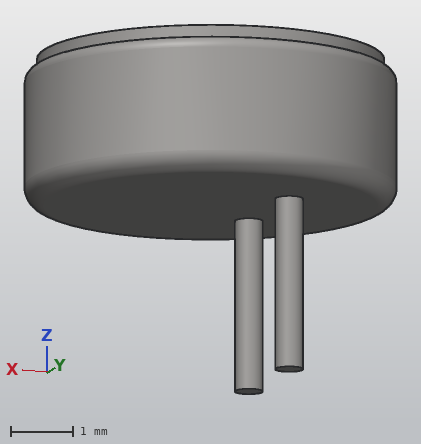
import cadquery as cq

can_diameter = 6.0
overall_height = 5.2
pin_length = 2.8
bottom_round = 0.3

disc_height = 0.2
top_round = 0.2
disc_diameter = can_diameter - 2 * top_round

pin_diameter = 0.45
pin_offset_x = -1.0
pin_spacing = 1.9

can_height = overall_height - pin_length - disc_height


def make_can():
    """Can standing on Z = 0, with rounded bottom and top edges."""
    can = cq.Workplane("XY").circle(can_diameter / 2).extrude(can_height)
    can = can.faces("<Z").edges().fillet(bottom_round)
    return can.faces(">Z").edges().fillet(top_round)


def make_disc():
    """Thin disc on the flat top of the can."""
    top_plane = cq.Workplane("XY").workplane(offset=can_height)
    return top_plane.circle(disc_diameter / 2).extrude(disc_height)


def make_pins():
    """Two straight pins hanging from the bottom of the can."""
    centers = [(pin_offset_x, side * pin_spacing / 2) for side in (-1, 1)]
    return cq.Workplane("XY").pushPoints(centers).circle(pin_diameter / 2).extrude(-pin_length)


result = make_can().union(make_disc()).union(make_pins())